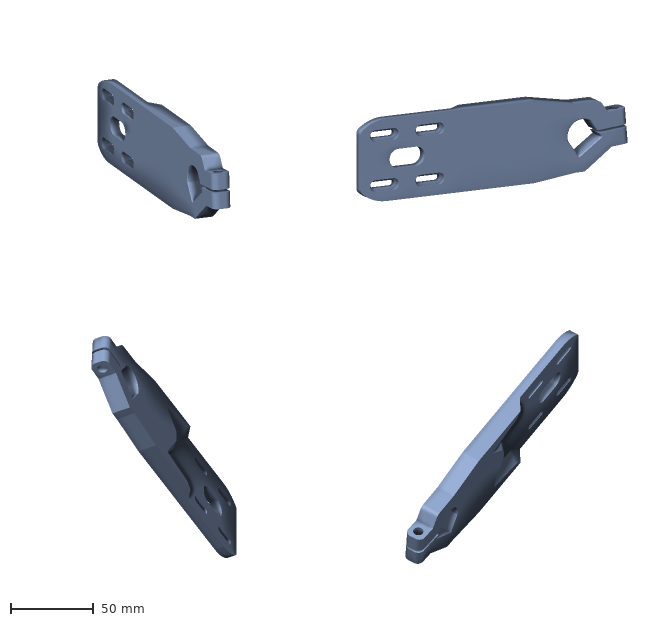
import cadquery as cq
import math

LENGTH = 183.5
WIDTH = 51.4
THICKNESS = 12.0
FLANGE_THICKNESS = THICKNESS / 2
CORNER_RADIUS = 4.0
HALF_WIDTH = WIDTH / 2

BORE_RADIUS = 10.5
BORE_HALF_WIDTH = 9.9
BORE_Z = 0.5
BORE_TILT = 35.0
BORE_CHAMFER = 0.5

LUG_TILT = 5.0
LUG_REACH = 31.5
LUG_HALF_WIDTH = 11.0
LUG_TOP_ROOT = 18.5
LUG_BOTTOM_ROOT = 19.0
SLIT_WIDTH = 2.0
SCREW_DIAMETER = 6.2
SCREW_TO_LUG_END = 6.0

NARROWING_X = 118.2
SHOULDER_START_X = 145.9
SHOULDER_END_X = 163.1
SHOULDER_Z = 20.7
BELLY_START_X = 146.8
BELLY_END_X = 152.7
BELLY_Z = -22.2

END_ARC_CENTER_X = 17.5

SLOT_GROUP_X = 31.5
SLOT_PITCH_X = 31.0
SLOT_PITCH_Z = 31.2
SLOT_LENGTH = 16.1
SLOT_WIDTH = 4.0
RECESS_MARGIN = 1.7
RECESS_DEPTH = 2.2
RECESS_SEAT_DEPTH = 0.83
WINDOW_LENGTH = 23.9
WINDOW_WIDTH = 12.0

RELIEF_MOUTH_X = 64.2
RELIEF_FOOT = [
    (RELIEF_MOUTH_X, -HALF_WIDTH),
    (73.8, -16.1),
    (92.8, -14.0),
    (85.0, -2.2),
    (85.0, 10.0),
    (89.7, 13.8),
    (73.4, 16.5),
    (RELIEF_MOUTH_X, HALF_WIDTH),
]
RELIEF_INNER_RADIUS = 2.0
RELIEF_OUTER_RADIUS = 6.0
RELIEF_INNER_CORNERS = [RELIEF_FOOT[2], RELIEF_FOOT[5]]
OVERRUN = 18.3

front = cq.Workplane("XZ")
lug_angle = math.radians(LUG_TILT)
bore_x = LENGTH - LUG_REACH * math.cos(lug_angle) - LUG_HALF_WIDTH * math.sin(lug_angle)


def lug_point(along, across):
    """X and Z of a point given along and across the lug, measured from the bore axis."""
    return (
        bore_x + along * math.cos(lug_angle) - across * math.sin(lug_angle),
        BORE_Z + along * math.sin(lug_angle) + across * math.cos(lug_angle),
    )


def bore_plane(tilt):
    """Front-face workplane centred on the bore and turned by tilt degrees."""
    return front.transformed(offset=(bore_x, BORE_Z, 0), rotate=(0, 0, tilt))


def make_arm():
    """Full-thickness plate with the outline of the arm and the rounded lug end."""
    corner_x = CORNER_RADIUS
    corner_z = math.sqrt((HALF_WIDTH - CORNER_RADIUS) ** 2 - (END_ARC_CENTER_X - corner_x) ** 2)
    join_angle = math.atan2(corner_z, corner_x - END_ARC_CENTER_X)

    def corner_arc(angle, side):
        return (
            corner_x + CORNER_RADIUS * math.cos(angle),
            side * (corner_z + CORNER_RADIUS * math.sin(angle)),
        )

    def end_arc(angle, side):
        return (
            END_ARC_CENTER_X + HALF_WIDTH * math.cos(angle),
            side * HALF_WIDTH * math.sin(angle),
        )

    corner_middle = (join_angle + math.pi) / 2
    end_middle = (join_angle + math.pi / 2) / 2
    arm = (
        front.moveTo(0, -corner_z)
        .lineTo(0, corner_z)
        .threePointArc(corner_arc(corner_middle, 1), end_arc(join_angle, 1))
        .threePointArc(end_arc(end_middle, 1), (END_ARC_CENTER_X, HALF_WIDTH))
        .lineTo(NARROWING_X, HALF_WIDTH)
        .lineTo(SHOULDER_START_X, SHOULDER_Z)
        .lineTo(SHOULDER_END_X, SHOULDER_Z)
        .lineTo(*lug_point(LUG_TOP_ROOT, LUG_HALF_WIDTH))
        .lineTo(*lug_point(LUG_REACH, LUG_HALF_WIDTH))
        .lineTo(*lug_point(LUG_REACH, -LUG_HALF_WIDTH))
        .lineTo(*lug_point(LUG_BOTTOM_ROOT, -LUG_HALF_WIDTH))
        .lineTo(BELLY_END_X, BELLY_Z)
        .lineTo(BELLY_START_X, BELLY_Z)
        .lineTo(NARROWING_X, -HALF_WIDTH)
        .lineTo(END_ARC_CENTER_X, -HALF_WIDTH)
        .threePointArc(end_arc(end_middle, -1), end_arc(join_angle, -1))
        .threePointArc(corner_arc(corner_middle, -1), (0, -corner_z))
        .close()
        .extrude(-THICKNESS)
    )
    lug_x, lug_z = lug_point(LUG_REACH, 0)
    rounded = [
        (NARROWING_X, THICKNESS / 2, HALF_WIDTH),
        (SHOULDER_START_X, THICKNESS / 2, SHOULDER_Z),
        (SHOULDER_END_X, THICKNESS / 2, SHOULDER_Z),
        (lug_x, 0, lug_z),
        (lug_x, THICKNESS, lug_z),
    ]
    for point in rounded:
        arm = arm.edges(cq.NearestToPointSelector(point)).fillet(CORNER_RADIUS)
    return arm


def make_bore():
    """Through bore with a chamfer at the front face."""

    def profile(inset):
        radius = BORE_RADIUS - inset
        side = BORE_HALF_WIDTH - inset
        arc_start = math.sqrt(radius**2 - side**2)
        return (
            bore_plane(BORE_TILT)
            .moveTo(-side, arc_start)
            .lineTo(-side, -side)
            .lineTo(side, -side)
            .lineTo(side, arc_start)
            .threePointArc((0, radius), (-side, arc_start))
            .close()
        )

    through = profile(BORE_CHAMFER).extrude(-THICKNESS)
    return through.union(profile(0).extrude(-BORE_CHAMFER, taper=45))


def make_slit():
    """Slit that opens the bore through the end of the lug."""
    return bore_plane(LUG_TILT).center(LUG_REACH, 0).rect(2 * LUG_REACH, SLIT_WIDTH).extrude(-THICKNESS)


def make_screw_hole():
    """Clamp screw hole across both halves of the lug."""
    x, z = lug_point(LUG_REACH - SCREW_TO_LUG_END, -HALF_WIDTH)
    direction = cq.Vector(-math.sin(lug_angle), 0, math.cos(lug_angle))
    base = cq.Vector(x, THICKNESS / 2, z)
    return cq.Workplane(cq.Solid.makeCylinder(SCREW_DIAMETER / 2, WIDTH, base, direction))


def make_slots():
    """Four slots countersunk from the front, and the window between them."""
    cutter = front.center(SLOT_GROUP_X, 0).slot2D(WINDOW_LENGTH, WINDOW_WIDTH).extrude(-THICKNESS)
    recess_length = SLOT_LENGTH + 2 * RECESS_MARGIN
    recess_width = SLOT_WIDTH + 2 * RECESS_MARGIN
    seat_taper = math.degrees(math.atan2(RECESS_MARGIN, RECESS_SEAT_DEPTH))
    for side_x in (-1, 1):
        for side_z in (-1, 1):
            place = front.center(SLOT_GROUP_X + side_x * SLOT_PITCH_X / 2, side_z * SLOT_PITCH_Z / 2)
            slot = place.slot2D(SLOT_LENGTH, SLOT_WIDTH).extrude(-THICKNESS)
            recess = place.slot2D(recess_length, recess_width).extrude(-RECESS_DEPTH)
            seat = (
                place.workplane(offset=-RECESS_DEPTH)
                .slot2D(recess_length, recess_width)
                .extrude(-RECESS_SEAT_DEPTH, taper=seat_taper)
            )
            cutter = cutter.union(slot).union(recess).union(seat)
    return cutter


def mitred(points, distance):
    """Closed counter-clockwise polygon moved outwards by distance, with sharp corners."""
    moved = []
    for i, (x, z) in enumerate(points):
        before = points[i - 1]
        after = points[(i + 1) % len(points)]
        angle_in = math.atan2(z - before[1], x - before[0])
        angle_out = math.atan2(after[1] - z, after[0] - x)
        middle = (angle_in + angle_out) / 2
        if abs(angle_out - angle_in) > math.pi:
            middle += math.pi
        stretch = distance / math.cos(middle - angle_in)
        moved.append((x + stretch * math.sin(middle), z - stretch * math.cos(middle)))
    return moved


def make_relief():
    """Space behind the thin flange, reaching between two ribs towards the bore."""
    floor = [
        (-OVERRUN, -HALF_WIDTH - OVERRUN),
        (RELIEF_MOUTH_X - OVERRUN, -HALF_WIDTH - OVERRUN),
        *RELIEF_FOOT[1:-1],
        (RELIEF_MOUTH_X - OVERRUN, HALF_WIDTH + OVERRUN),
        (-OVERRUN, HALF_WIDTH + OVERRUN),
    ]
    rise = THICKNESS - FLANGE_THICKNESS
    rim = mitred(floor, rise)
    wires = [
        cq.Wire.makePolygon([cq.Vector(x, y, z) for x, z in outline], close=True)
        for y, outline in ((FLANGE_THICKNESS, floor), (THICKNESS, rim))
    ]
    relief = cq.Workplane(cq.Solid.makeLoft(wires, True))
    middle_y = (FLANGE_THICKNESS + THICKNESS) / 2
    for foot in RELIEF_FOOT[1:-1]:
        x, z = rim[floor.index(foot)]
        crease = cq.NearestToPointSelector(((foot[0] + x) / 2, middle_y, (foot[1] + z) / 2))
        radius = RELIEF_INNER_RADIUS if foot in RELIEF_INNER_CORNERS else RELIEF_OUTER_RADIUS
        relief = relief.edges(crease).fillet(radius)
    return relief


result = make_arm()
for cutter in (make_bore(), make_slit(), make_screw_hole(), make_slots(), make_relief()):
    result = result.cut(cutter)